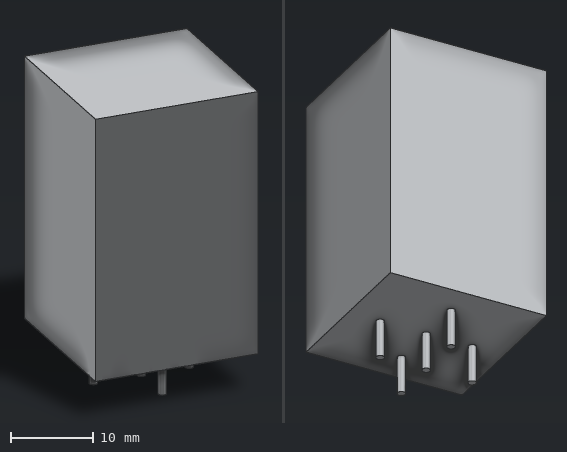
import cadquery as cq

overall_height = 39.77
housing_width = 21.6
pin_length = 5.15
housing_height = overall_height - pin_length

pin_diameter = 1.05
pin_spacing = 6.35

pin_positions = [
    (0, 0),
    (pin_spacing, 0),
    (-pin_spacing, 0),
    (0, pin_spacing),
    (0, -pin_spacing),
]


def make_housing():
    """Square block with its underside on the plane Z = 0."""
    return cq.Workplane("XY").rect(housing_width, housing_width).extrude(housing_height)


def make_pin(x, y):
    """Round pin hanging down from the underside of the housing."""
    return cq.Workplane("XY").center(x, y).circle(pin_diameter / 2).extrude(-pin_length)


housing = make_housing()
pins = [make_pin(x, y) for x, y in pin_positions]

result = cq.Compound.makeCompound([housing.val(), *[pin.val() for pin in pins]])